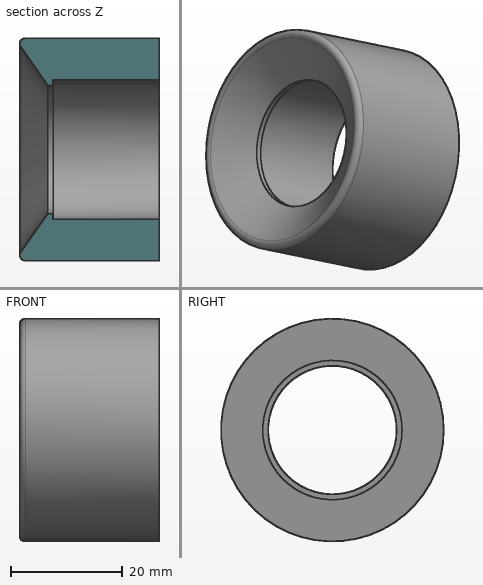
import cadquery as cq
import math

length = 25.1
outer_radius = 40 / 2
throat_radius = 23.0 / 2
bore_radius = 25.0 / 2

rim_radius = 1.0

cone_half_angle = 55
throat_length = 1.0

rim_center_radius = outer_radius - rim_radius
cone_normal = math.radians(cone_half_angle)
mouth_x = rim_radius * (1 - math.sin(cone_normal))
mouth_radius = rim_center_radius - rim_radius * math.cos(cone_normal)

throat_start = mouth_x + (mouth_radius - throat_radius) / math.tan(cone_normal)
throat_end = throat_start + throat_length

section = (
    cq.Workplane("XY")
    .moveTo(length, outer_radius)
    .lineTo(rim_radius, outer_radius)
    .threePointArc((0, rim_center_radius), (mouth_x, mouth_radius))
    .lineTo(throat_start, throat_radius)
    .lineTo(throat_end, throat_radius)
    .lineTo(throat_end, bore_radius)
    .lineTo(length, bore_radius)
    .close()
)

result = section.revolve(360, (0, 0, 0), (1, 0, 0))